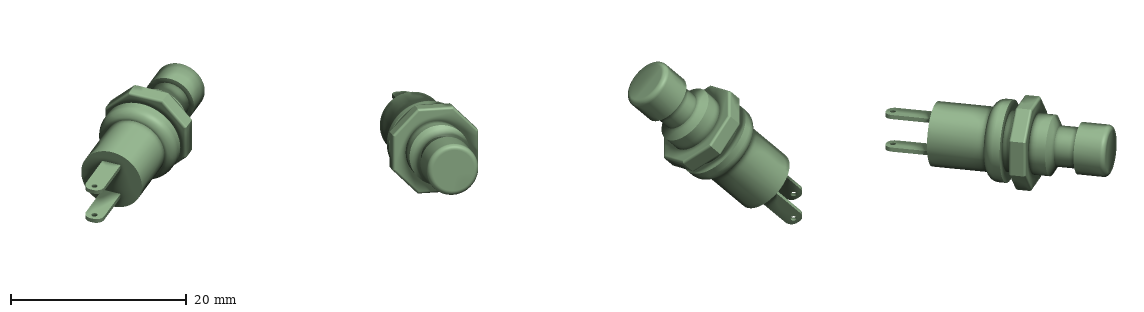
import cadquery as cq


barrel_diameter = 7.5
barrel_length = 6.67
terminal_length = 5.8
terminal_width = 2.25
terminal_thickness = 0.5
terminal_spacing = 4.0
terminal_corner_radius = 0.95
terminal_hole_diameter = 0.7
terminal_hole_edge_distance = 0.8

flange_diameter = 9.55
flange_thickness = 2.15
flange_fillet = 1.3
bushing_diameter = 7.07
bushing_height = 5.03
nose_height = 0.71

nut_across_flats = 10.0
nut_thickness = 1.99
nut_fillet = 0.3
nut_gap = 1.1

stem_diameter = 4.75
stem_length = 2.5
cap_diameter = 6.0
cap_fillet = 0.58
overall_length = 26.47

barrel_end_y = -barrel_length
terminal_tip_y = barrel_end_y - terminal_length
nut_y = flange_thickness + nut_gap
nose_y = flange_thickness + bushing_height
stem_y = nose_y + nose_height
cap_y = stem_y + stem_length
cap_length = terminal_tip_y + overall_length - cap_y


def plane_at(y):
    """Sketch plane across the switch axis, with its normal along +Y."""
    return cq.Workplane(cq.Plane(origin=(0, y, 0), xDir=(1, 0, 0), normal=(0, 1, 0)))


def cylinder(y, diameter, length):
    """Cylinder on the switch axis, starting at y and running toward +Y."""
    return plane_at(y).circle(diameter / 2).extrude(length)


def make_barrel():
    return cylinder(barrel_end_y, barrel_diameter, barrel_length)


def make_bushing():
    flange = cylinder(0, flange_diameter, flange_thickness).faces("<Y").edges().fillet(flange_fillet)
    neck = cylinder(flange_thickness, bushing_diameter, bushing_height)
    nose = (
        plane_at(nose_y)
        .circle(bushing_diameter / 2)
        .workplane(offset=nose_height)
        .circle(stem_diameter / 2)
        .loft(ruled=True)
    )
    return flange.union(neck).union(nose)


def make_nut():
    """Octagonal nut with flats facing X and Z and rounded rims on both faces."""
    square = plane_at(nut_y).rect(nut_across_flats, nut_across_flats).extrude(nut_thickness)
    turned_square = square.rotate((0, 0, 0), (0, 1, 0), 45)
    octagon = square.intersect(turned_square).faces("<Y or >Y").edges().fillet(nut_fillet)
    return octagon.cut(cylinder(nut_y, bushing_diameter, nut_thickness))


def make_button():
    stem = cylinder(stem_y, stem_diameter, stem_length)
    cap = cylinder(cap_y, cap_diameter, cap_length).faces(">Y").edges().fillet(cap_fillet)
    return stem.union(cap)


def make_terminal(z):
    """Flat solder terminal with rounded tip corners and a wire hole, centred at height z."""
    blade = (
        cq.Workplane("XY")
        .box(terminal_width, terminal_length, terminal_thickness)
        .translate((0, barrel_end_y - terminal_length / 2, z))
        .edges("|Z and <Y")
        .fillet(terminal_corner_radius)
    )
    wire_hole = (
        cq.Workplane("XY", origin=(0, terminal_tip_y + terminal_hole_edge_distance, z))
        .circle(terminal_hole_diameter / 2)
        .extrude(terminal_thickness, both=True)
    )
    return blade.cut(wire_hole)


barrel = make_barrel()
bushing = make_bushing()
nut = make_nut()
button = make_button()
terminals = [make_terminal(side * terminal_spacing / 2) for side in (-1, 1)]

result = cq.Compound.makeCompound([
    barrel.val(),
    bushing.val(),
    nut.val(),
    button.val(),
    *[terminal.val() for terminal in terminals],
])